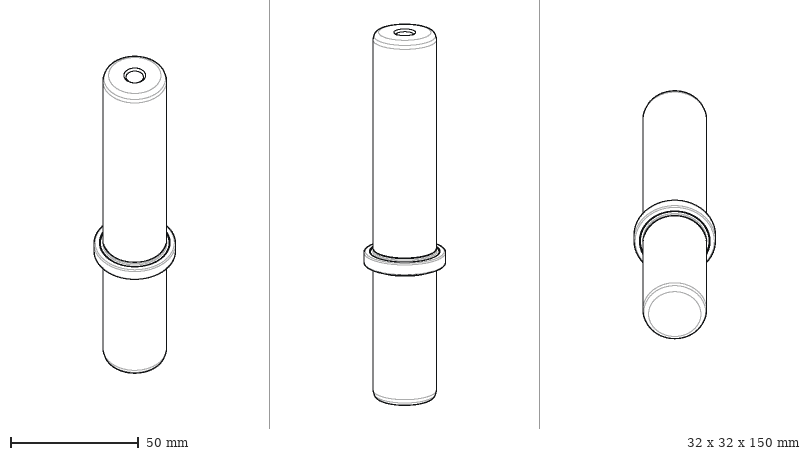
import cadquery as cq
import math

total_length = 150.0
shaft_radius = 25.0 / 2

collar_radius = 32.0 / 2
collar_bottom = 55.0
collar_top = 60.0
collar_edge_radius = 0.5

lead_in_length = 3.0
taper_length = 1.5
lead_in_rise = lead_in_length - taper_length
taper_end_radius = 12.1
end_face_radius = 10.25

shaft_relief_depth = 0.35
shaft_relief_reach = 1.25
face_relief_depth = 0.2
face_relief_reach = 1.35
relief_run_out = 0.4
relief_corner_radius = 0.4

hole_radius = 6.8 / 2
hole_depth = 20.0
hole_mouth_radius = 8.5 / 2
hole_mouth_depth = hole_mouth_radius - hole_radius
drill_tip_angle = 118.0


def end_arc_middle():
    """Radius and axial distance from the end face of the mid-point of the rounded edge.

    The arc is tangent to the flat end face, so its centre lies at end_face_radius.
    """
    width = taper_end_radius - end_face_radius
    arc_radius = (width**2 + lead_in_rise**2) / (2 * lead_in_rise)
    half_angle = math.asin(width / arc_radius) / 2
    radius = end_face_radius + arc_radius * math.sin(half_angle)
    return radius, arc_radius * (1 - math.cos(half_angle))


def make_shaft():
    """Revolved shaft with rounded, tapered ends."""
    middle_radius, middle_height = end_arc_middle()
    profile = (
        cq.Workplane("XZ")
        .lineTo(end_face_radius, 0)
        .threePointArc((middle_radius, middle_height), (taper_end_radius, lead_in_rise))
        .lineTo(shaft_radius, lead_in_length)
        .lineTo(shaft_radius, total_length - lead_in_length)
        .lineTo(taper_end_radius, total_length - lead_in_rise)
        .threePointArc((middle_radius, total_length - middle_height), (end_face_radius, total_length))
        .lineTo(0, total_length)
        .close()
    )
    return profile.revolve(360, (0, 0, 0), (0, 1, 0))


def make_collar():
    """Collar disc with rounded outer edges."""
    disc = cq.Workplane("XY").workplane(offset=collar_bottom).circle(collar_radius)
    return disc.extrude(collar_top - collar_bottom).edges().fillet(collar_edge_radius)


def make_relief(face_height, direction):
    """Ring to cut at one collar face; direction is +1 above the collar and -1 below it."""
    def point(outward, away):
        """Point measured from the corner: outward from the shaft, away from the collar face."""
        return shaft_radius + outward, face_height + direction * away

    shaft_arc_end = relief_corner_radius - face_relief_depth
    face_arc_end = relief_corner_radius - shaft_relief_depth
    arc_inset = relief_corner_radius * (1 - math.sqrt(0.5))
    profile = (
        cq.Workplane("XZ")
        .moveTo(*point(0, shaft_relief_reach))
        .lineTo(*point(-shaft_relief_depth, shaft_relief_reach - relief_run_out))
        .lineTo(*point(-shaft_relief_depth, shaft_arc_end))
        .threePointArc(
            point(arc_inset - shaft_relief_depth, arc_inset - face_relief_depth),
            point(face_arc_end, -face_relief_depth),
        )
        .lineTo(*point(face_relief_reach - relief_run_out, -face_relief_depth))
        .lineTo(*point(face_relief_reach, 0))
        .lineTo(*point(0, 0))
        .close()
    )
    return profile.revolve(360, (0, 0, 0), (0, 1, 0))


def make_hole():
    """Blind drilled hole with a countersunk mouth and a conical tip."""
    tip_length = hole_radius / math.tan(math.radians(drill_tip_angle / 2))
    floor_height = total_length - hole_depth
    profile = (
        cq.Workplane("XZ")
        .moveTo(0, total_length)
        .lineTo(hole_mouth_radius, total_length)
        .lineTo(hole_radius, total_length - hole_mouth_depth)
        .lineTo(hole_radius, floor_height)
        .lineTo(0, floor_height - tip_length)
        .close()
    )
    return profile.revolve(360, (0, 0, 0), (0, 1, 0))


result = make_shaft().union(make_collar())
for face_height, direction in ((collar_top, 1), (collar_bottom, -1)):
    result = result.cut(make_relief(face_height, direction))
result = result.cut(make_hole())